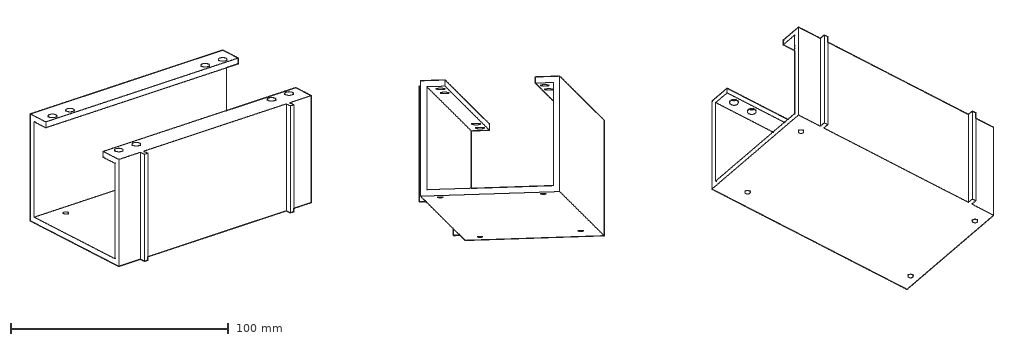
import cadquery as cq

length = 113.5
width = 65.0
height = 54.0
wall = 3.0

flange_width = 11.5
flange_hole_diameter = 4.0
flange_hole_edge_x = 8.2
flange_hole_edges_y = (6.6, 16.9)

floor_hole_diameter = 2.5
floor_hole_edge_x = 8.4
rear_hole_edge_y = 4.4
front_left_hole_edge_y = 14.3
front_right_hole_edge_y = 8.0

rib_width = 2.0
rib_edge_y = 13.7


def make_channel():
    """U-shaped channel with two inward flanges along its open top."""
    outer = cq.Workplane("XY").box(width, length, height, centered=(True, True, False))
    cavity = cq.Workplane("XY", origin=(0, 0, wall)).box(
        width - 2 * wall, length, height - 2 * wall, centered=(True, True, False)
    )
    opening = cq.Workplane("XY", origin=(0, 0, wall)).box(
        width - 2 * flange_width, length, height, centered=(True, True, False)
    )
    return outer.cut(cavity).cut(opening)


def make_drills(points, diameter, bottom):
    """Vertical cylinders, one wall thickness long, for cutting holes."""
    return cq.Workplane("XY", origin=(0, 0, bottom)).pushPoints(points).circle(diameter / 2).extrude(wall)


def make_ribs():
    """Two full-height ribs, placed symmetrically along the length."""
    rib_y = length / 2 - rib_edge_y
    return (
        cq.Workplane("XY")
        .pushPoints([(width / 2 + wall / 2, side * rib_y) for side in (-1, 1)])
        .rect(wall, rib_width)
        .extrude(height)
    )


flange_hole_points = [
    (side_x * (width / 2 - flange_hole_edge_x), side_y * (length / 2 - edge_y))
    for side_x in (-1, 1)
    for side_y in (-1, 1)
    for edge_y in flange_hole_edges_y
]

floor_hole_x = width / 2 - floor_hole_edge_x
floor_hole_points = [
    (-floor_hole_x, length / 2 - rear_hole_edge_y),
    (floor_hole_x, length / 2 - rear_hole_edge_y),
    (-floor_hole_x, -length / 2 + front_left_hole_edge_y),
    (floor_hole_x, -length / 2 + front_right_hole_edge_y),
]

part = make_channel().union(make_ribs())
part = part.cut(make_drills(flange_hole_points, flange_hole_diameter, height - wall))
part = part.cut(make_drills(floor_hole_points, floor_hole_diameter, 0))

result = part.translate((-wall / 2, 0, 0))